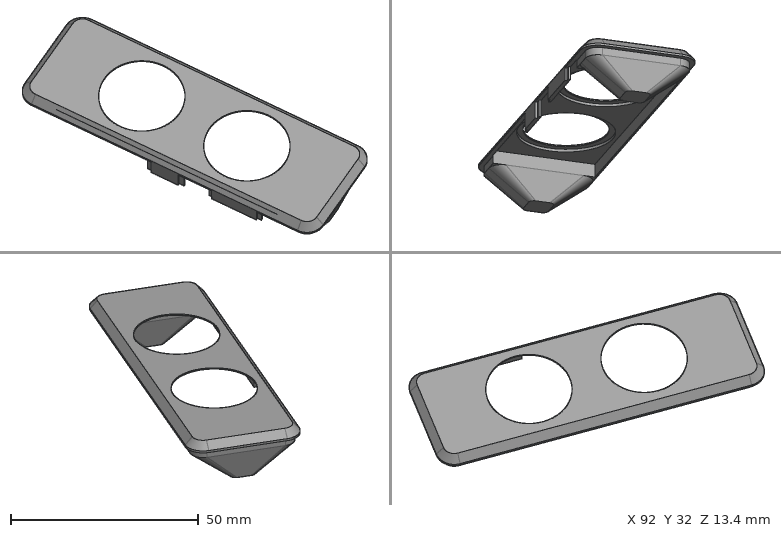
import cadquery as cq

LENGTH = 92.0
WIDTH = 32.0
HEIGHT = 13.35
CORNER_RADIUS = 5.0
CHAMFER_INSET = 2.0
CHAMFER_DEPTH = 2.15
COVER_DEPTH = 2.75

WINDOW_DIAMETER = 23.0
RECESS_DIAMETER = 26.4
LIP_THICKNESS = 0.4
WINDOW_SPACING = 32.4
WINDOW_Y = -0.2

COLLAR_INSET = 1.4
COLLAR_BOTTOM = 4.9
COLLAR_LENGTH = LENGTH - 2 * COLLAR_INSET
COLLAR_WIDTH = WIDTH - 2 * COLLAR_INSET
COLLAR_RADIUS = CORNER_RADIUS - COLLAR_INSET

POCKET_LENGTH = 68.0
POCKET_CEILING = 1.2
BACK_WALL_THICKNESS = 0.5

FOOT_LENGTH = (COLLAR_LENGTH - POCKET_LENGTH) / 2
FOOT_X = (COLLAR_LENGTH + POCKET_LENGTH) / 4
TIP_LENGTH = 7.1
TIP_WIDTH = 7.0
TIP_RADIUS = 1.5

TABS = [(0.0, 11.3, 7.5, 1.5), (21.4, 16.2, 6.4, 1.2)]
TAB_STEP = 0.6
TAB_THICKNESS = 2 * TAB_STEP


def block(x_min, x_max, y_min, y_max, top, bottom):
    """Box between two depths below the top face."""
    return (
        cq.Workplane("XY")
        .box(x_max - x_min, y_max - y_min, bottom - top, centered=False)
        .translate((x_min, y_min, -bottom))
    )


def rounded_sketch(length, width, radius):
    return cq.Sketch().rect(length, width).vertices().fillet(radius)


def rounded_plate(length, width, radius, bottom):
    """Rounded rectangle from the top face down to the given depth."""
    outline = rounded_sketch(length, width, radius)
    return cq.Workplane("XY").workplane(offset=-bottom).placeSketch(outline).extrude(bottom)


def cover():
    plate = rounded_plate(LENGTH, WIDTH, CORNER_RADIUS, COVER_DEPTH)
    return plate.faces(">Z").chamfer(CHAMFER_DEPTH, CHAMFER_INSET)


def collar():
    skirt = rounded_plate(COLLAR_LENGTH, COLLAR_WIDTH, COLLAR_RADIUS, COLLAR_BOTTOM)
    above = block(-LENGTH / 2, LENGTH / 2, -WIDTH / 2, WIDTH / 2, 0, POCKET_CEILING)
    return skirt.cut(above)


def pocket():
    y_min = TAB_THICKNESS - WIDTH / 2
    y_max = COLLAR_WIDTH / 2 - BACK_WALL_THICKNESS
    return block(-POCKET_LENGTH / 2, POCKET_LENGTH / 2, y_min, y_max, POCKET_CEILING, COLLAR_BOTTOM)


def foot(x):
    root = rounded_sketch(FOOT_LENGTH, COLLAR_WIDTH, COLLAR_RADIUS)
    tip = rounded_sketch(TIP_LENGTH, TIP_WIDTH, TIP_RADIUS)
    drop = cq.Location(cq.Vector(0, 0, COLLAR_BOTTOM - HEIGHT))
    taper = cq.Workplane("XY").placeSketch(root, tip.moved(drop)).loft()
    return taper.translate((x, 0, -COLLAR_BOTTOM))


def tab(x, length, bottom, step_length):
    x_min = x - length / 2
    x_max = x + length / 2
    y_front = -WIDTH / 2
    y_step = y_front + TAB_STEP
    y_back = y_front + TAB_THICKNESS
    back = block(x_min, x_max, y_step, y_back, COVER_DEPTH, bottom)
    front = block(x_min + step_length, x_max - step_length, y_front, y_step, COVER_DEPTH, bottom)
    return back.union(front)


def window(x):
    """Through hole with a wider recess below its thin lip."""
    hole = cq.Workplane("XY").circle(WINDOW_DIAMETER / 2).extrude(-POCKET_CEILING)
    recess_depth = POCKET_CEILING - LIP_THICKNESS
    recess = (
        cq.Workplane("XY")
        .workplane(offset=-POCKET_CEILING)
        .circle(RECESS_DIAMETER / 2)
        .extrude(recess_depth)
    )
    return hole.union(recess).translate((x, WINDOW_Y, 0))


result = cover().union(collar()).cut(pocket())
for side in (-1, 1):
    result = result.cut(window(side * WINDOW_SPACING / 2))
    result = result.union(foot(side * FOOT_X))
for tab_values in TABS:
    result = result.union(tab(*tab_values))